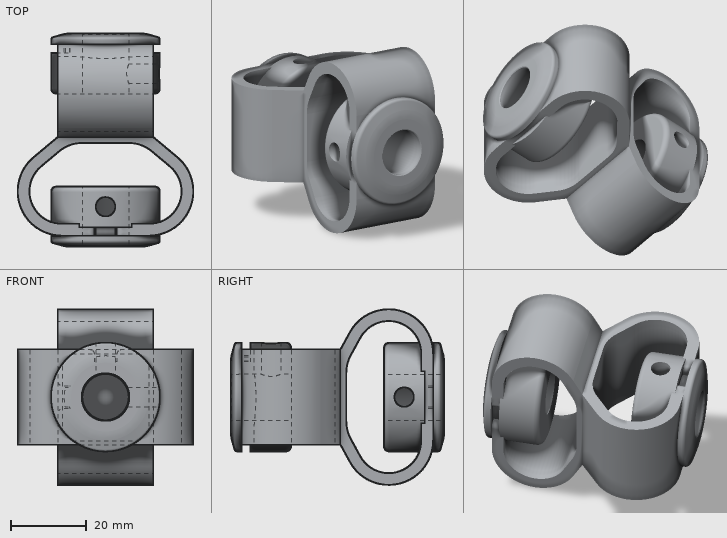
import cadquery as cq
import math

overall_depth = 56.46
overall_width = 46.48
half_depth = overall_depth / 2

strap_width = 25.3
strap_thickness = 3.17
web_thickness = strap_thickness / 2
bend_radius = 11.75
web_bend_radius = 9.3
junction_y = web_thickness / 2
bend_offset = overall_width / 2 - bend_radius

hub_radius = 14.4
bore_radius = 6.1
bore_chamfer = 0.22
head_thickness = 2.93
head_flat_radius = 9.1
head_cone_radius = 11.5
head_cone_angle = math.radians(16)
head_edge_radius = 0.8
neck_radius = 9.9
collar_length = 10.75
collar_recess = 0.88
collar_edge_radius = 1.4
screw_radius = 2.57
screw_from_collar_end = 5.35

notch_width = 5.9
notch_mouth_radius = 1.38
key_width = 5.13
key_tip_radius = 11.0

selection_margin = 0.01


def tangent_angle(corner, center, radius):
    """Direction, seen from the center, of the point where a line from the corner touches the circle."""
    dx = corner[0] - center[0]
    dy = corner[1] - center[1]
    return math.atan2(dy, dx) - math.acos(radius / math.hypot(dx, dy))


def polar(center, radius, angle):
    return (center[0] + radius * math.cos(angle), center[1] + radius * math.sin(angle))


def mirrored(point):
    return (-point[0], point[1])


def loop_outline(top_corner, center, radius, touch_angle):
    """Closed outline: flat top, sloped sides, round ends and a flat bottom."""
    touch = polar(center, radius, touch_angle)
    middle = polar(center, radius, (touch_angle - math.pi / 2) / 2)
    bottom = (center[0], center[1] - radius)
    return (
        cq.Workplane("XY", origin=(0, 0, -strap_width / 2))
        .moveTo(*mirrored(top_corner))
        .lineTo(*top_corner)
        .lineTo(*touch)
        .threePointArc(middle, bottom)
        .lineTo(*mirrored(bottom))
        .threePointArc(mirrored(middle), mirrored(touch))
        .close()
        .extrude(strap_width)
    )


def make_loop(face_depth):
    """Strap loop hanging from y = 0 down to y = -face_depth."""
    center = (bend_offset, bend_radius - face_depth)
    outer_corner = (strap_width / 2, 0)
    touch_angle = tangent_angle(outer_corner, center, bend_radius)
    inner_radius = bend_radius - strap_thickness

    touch = polar(center, inner_radius, touch_angle)
    rise = -web_thickness - touch[1]
    inner_corner = (touch[0] - rise * math.tan(touch_angle), -web_thickness)

    outside = loop_outline(outer_corner, center, bend_radius, touch_angle)
    inside = loop_outline(inner_corner, center, inner_radius, touch_angle)
    web_corners = cq.selectors.BoxSelector(
        (-strap_width, -web_thickness - selection_margin, -strap_width),
        (strap_width, -web_thickness + selection_margin, strap_width),
    )
    inside = inside.edges("|Z").edges(web_corners).fillet(web_bend_radius)
    return outside.cut(inside)


def make_notch(face_depth):
    """Tool for the notch in the +Z strap edge: straight walls with a rounded mouth."""
    top = strap_width / 2
    wall_x = notch_width / 2
    mouth_center = (wall_x + notch_mouth_radius, top - notch_mouth_radius)
    wall_end = (wall_x, mouth_center[1])
    mouth_middle = polar(mouth_center, notch_mouth_radius, math.radians(135))
    mouth_edge = (mouth_center[0], top)
    return (
        cq.Workplane("XZ", origin=(0, -face_depth + strap_thickness, 0))
        .moveTo(-wall_x, 0)
        .lineTo(wall_x, 0)
        .lineTo(*wall_end)
        .threePointArc(mouth_middle, mouth_edge)
        .lineTo(*mirrored(mouth_edge))
        .threePointArc(mirrored(mouth_middle), mirrored(wall_end))
        .close()
        .extrude(strap_thickness)
    )


def make_key(face_depth):
    """Key on the +Z side of the neck, flat-sided with a tip that is round about the hub axis."""
    side = (
        cq.Workplane("XY", origin=(0, -face_depth + strap_thickness / 2, 0))
        .rect(key_width, strap_thickness)
        .extrude(hub_radius)
    )
    return side.intersect(cylinder_along_y(key_tip_radius, -face_depth, strap_thickness))


def make_head(face_depth):
    """Domed disc on the outside of the strap, drawn as half a section and revolved about Y."""
    outer_y = -face_depth - head_thickness
    crown_radius = (head_cone_radius - head_flat_radius) / math.sin(head_cone_angle)
    crown_center = (head_flat_radius, outer_y + crown_radius)
    crown_end = polar(crown_center, crown_radius, head_cone_angle - math.pi / 2)
    crown_middle = polar(crown_center, crown_radius, head_cone_angle / 2 - math.pi / 2)

    edge_x = hub_radius - head_edge_radius
    cone_end_x = edge_x + head_edge_radius * math.sin(head_cone_angle)
    cone_end_y = crown_end[1] + (cone_end_x - crown_end[0]) * math.tan(head_cone_angle)
    edge_center = (edge_x, cone_end_y + head_edge_radius * math.cos(head_cone_angle))
    edge_middle = polar(edge_center, head_edge_radius, (head_cone_angle - math.pi / 2) / 2)
    return (
        cq.Workplane("XY")
        .moveTo(0, -face_depth)
        .lineTo(0, outer_y)
        .lineTo(head_flat_radius, outer_y)
        .threePointArc(crown_middle, crown_end)
        .lineTo(cone_end_x, cone_end_y)
        .threePointArc(edge_middle, (hub_radius, edge_center[1]))
        .lineTo(hub_radius, -face_depth)
        .close()
        .revolve(360, (0, 0, 0), (0, 1, 0))
    )


def cylinder_along_y(radius, start_y, length):
    return cq.Workplane("XZ", origin=(0, start_y, 0)).circle(radius).extrude(-length)


def make_clamp(face_depth, screw_side):
    """One loop with its hub; screw_side is +1 or -1 for a set screw on +Z or -Z."""
    collar_start = -face_depth + strap_thickness - collar_recess
    collar_end = collar_start + collar_length
    head_face = -face_depth - head_thickness

    collar = cylinder_along_y(hub_radius, collar_start, collar_length)
    collar = collar.faces(">Y").edges().fillet(collar_edge_radius)
    neck = cylinder_along_y(neck_radius, -face_depth, strap_thickness)
    bore = cylinder_along_y(bore_radius, head_face, collar_end - head_face)
    screw_hole = (
        cq.Workplane("XY", origin=(0, collar_end - screw_from_collar_end, 0))
        .circle(screw_radius)
        .extrude(screw_side * hub_radius)
    )

    clamp = make_loop(face_depth).cut(make_notch(face_depth))
    clamp = clamp.union(neck).union(make_key(face_depth)).union(collar).union(make_head(face_depth))
    clamp = clamp.cut(bore).cut(screw_hole)
    bore_rim = cq.selectors.BoxSelector(
        (-bore_radius - selection_margin, head_face - selection_margin, -bore_radius - selection_margin),
        (bore_radius + selection_margin, head_face + selection_margin, bore_radius + selection_margin),
        boundingbox=True,
    )
    return clamp.edges(bore_rim).chamfer(bore_chamfer)


strap_face = half_depth - head_thickness
front_clamp = make_clamp(strap_face + junction_y, 1).translate((0, junction_y, 0))
back_clamp = (
    make_clamp(strap_face - junction_y, -1)
    .rotate((0, 0, 0), (0, 0, 1), 180)
    .rotate((0, 0, 0), (0, 1, 0), -90)
    .translate((0, junction_y, 0))
)
result = front_clamp.union(back_clamp)